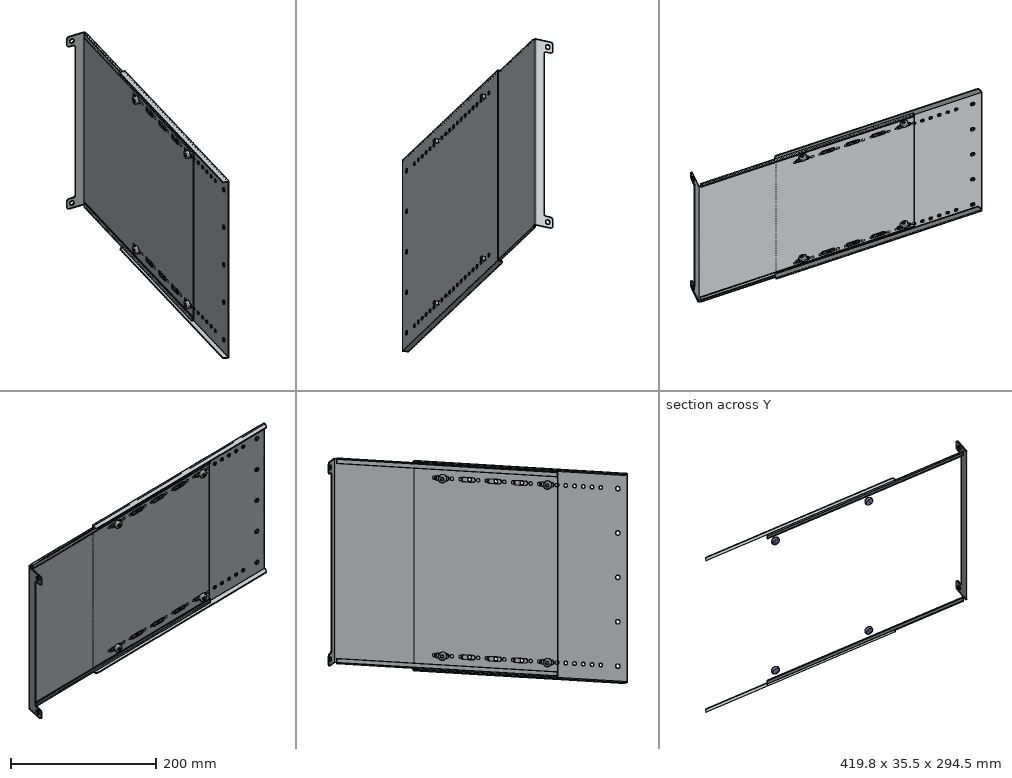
import cadquery as cq
import math

sheet = 1.5
overall_length = 419.8
overall_height = 294.5
overall_depth = 35.5

back_length = 304.7
back_flange_depth = 8.5
flange_corner_x = 2.0
flange_corner_y = 5.0
back_left = overall_length - back_length
screw_protrusion = 6.0
back_y = overall_depth - screw_protrusion
seam_y = back_y - sheet

tray_length = 320.5
tray_height = 289.0
tray_depth = 3.8
lip_width = 7.0
lip_start = 5.0
end_height = 287.0
bend_radius = 2.0
tray_front_y = seam_y - sheet

strip_front_y = 13.5
ear_height = 16.8
ear_corner = 4.0
ear_root = 3.5
ear_hole = 6.7
ear_hole_y = 8.0

row_spacing = 250.0
screw_x = 156.5
screw_span = 150.3
pitches_between_screws = 12
hole_pitch = screw_span / pitches_between_screws
adjust_hole = 5.0
holes_before_screw = 1
adjust_hole_count = 20
slot_count = 5
pitches_between_slots = 3
slot_pitch = pitches_between_slots * hole_pitch
slot_length = 20.0
slot_width = 6.5
slot_offset = -1.5
end_hole = 6.5
end_hole_x = 406.5
end_hole_count = 5

shank = 6.0
tip_chamfer = 1.05
head = 11.5
head_height = 5.0
head_round = 1.5
socket = 4.0
socket_depth = 2.5

row_heights = [-row_spacing / 2, row_spacing / 2]
screw_points = [(x, z) for x in (screw_x, screw_x + screw_span) for z in row_heights]


def block(x0, x1, y0, y1, z0, z1):
    """Box between two corners."""
    corner = cq.Workplane("XY", origin=(x0, y0, z0))
    return corner.box(x1 - x0, y1 - y0, z1 - z0, centered=False)


def facing(y):
    """Sketch plane at depth y: sketch axes are X and Z, positive extrusions run toward -Y."""
    return cq.Workplane("XZ", origin=(0, y, 0))


def round_holes(points, diameter):
    """Cutters running through both sheets along Y."""
    through = back_y - tray_front_y
    return facing(back_y).pushPoints(points).circle(diameter / 2).extrude(through)


def make_back_plate():
    """Flanged sheet with rows of adjustment holes and a column of end holes."""
    half = overall_height / 2
    plate = block(back_left, overall_length, seam_y, back_y, -half, half)
    flange_front = back_y - back_flange_depth
    flange_outline = [
        (back_left, back_y),
        (overall_length, back_y),
        (overall_length, flange_front + flange_corner_y),
        (overall_length - flange_corner_x, flange_front),
        (back_left + flange_corner_x, flange_front),
        (back_left, flange_front + flange_corner_x),
    ]
    for z in (-half, half - sheet):
        flange = cq.Workplane("XY", origin=(0, 0, z)).polyline(flange_outline).close().extrude(sheet)
        plate = plate.union(flange)

    first_hole_x = screw_x - holes_before_screw * hole_pitch
    adjust_points = [
        (first_hole_x + i * hole_pitch, z) for i in range(adjust_hole_count) for z in row_heights
    ]
    end_pitch = row_spacing / (end_hole_count - 1)
    end_points = [(end_hole_x, row_heights[0] + i * end_pitch) for i in range(end_hole_count)]
    plate = plate.cut(round_holes(adjust_points, adjust_hole))
    plate = plate.cut(round_holes(end_points, end_hole))
    return plate.cut(round_holes(screw_points, shank))


def make_end_strip():
    """Strip in the YZ plane with a drilled ear at each end."""
    half = end_height / 2
    strip = block(0, sheet, strip_front_y, seam_y, -half, half)
    for side in (-1, 1):
        z_inner = side * (half - ear_height)
        z_low, z_high = sorted((z_inner, side * half))
        ear = block(0, sheet, 0, strip_front_y + ear_root, z_low, z_high)
        strip = strip.union(ear.edges("|X and <Y").fillet(ear_corner))
        hole = (
            cq.Workplane("YZ")
            .center(ear_hole_y, side * (half - ear_height / 2))
            .circle(ear_hole / 2)
            .extrude(sheet)
        )
        strip = strip.cut(hole)
    root = cq.selectors.BoxSelector(
        (-sheet, strip_front_y - sheet, -half + sheet),
        (2 * sheet, strip_front_y + sheet, half - sheet),
    )
    return strip.edges("|X").edges(root).fillet(ear_root)


def make_tray():
    """Slotted sheet with return lips along both long edges and the end strip bent forward."""
    half = tray_height / 2
    tray = block(0, tray_length, tray_front_y, seam_y, -end_height / 2, end_height / 2)
    tray = tray.union(make_end_strip())
    tray = tray.edges("|Z and <X and >Y").fillet(bend_radius)

    lip_y = seam_y - tray_depth
    tray = tray.union(block(lip_start, tray_length, tray_front_y, seam_y, -half, half))
    for side in (-1, 1):
        edge = side * half
        flange_z = sorted((edge, edge - side * sheet))
        lip_z = sorted((edge, edge - side * lip_width))
        tray = tray.union(block(lip_start, tray_length, lip_y, seam_y, *flange_z))
        tray = tray.union(block(lip_start, tray_length, lip_y, lip_y + sheet, *lip_z))

    slot_points = [
        (screw_x + slot_offset + i * slot_pitch, z) for i in range(slot_count) for z in row_heights
    ]
    slots = facing(seam_y).pushPoints(slot_points).slot2D(slot_length, slot_width).extrude(sheet)
    return tray.cut(slots)


def make_screw(x, z):
    """Round-headed socket screw along Y, its head bearing on the tray."""
    shank_length = overall_depth - tray_front_y
    stem = facing(overall_depth).circle(shank / 2).extrude(shank_length).faces(">Y").chamfer(tip_chamfer)
    cap = facing(tray_front_y).circle(head / 2).extrude(head_height).faces("<Y").edges().fillet(head_round)
    cap_front = tray_front_y - head_height
    across_corners = socket / math.cos(math.pi / 6)
    recess = facing(cap_front + socket_depth).polygon(6, across_corners).extrude(socket_depth)
    return stem.union(cap).cut(recess).translate((x, 0, z))


back_plate = make_back_plate()
tray = make_tray()
screws = [make_screw(x, z) for x, z in screw_points]

result = cq.Compound.makeCompound([back_plate.val(), tray.val(), *[screw.val() for screw in screws]])